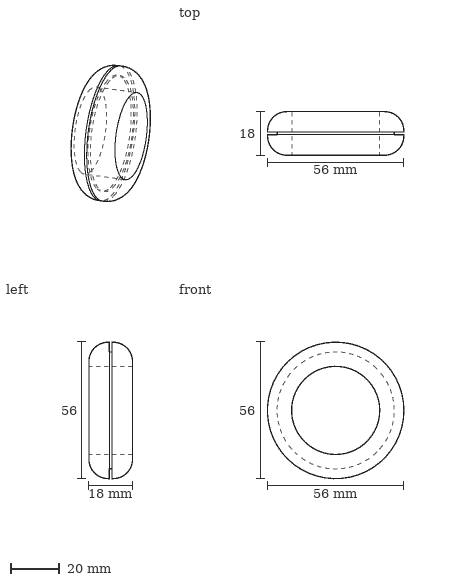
import cadquery as cq

outer_diameter = 56.0
bore_diameter = 36.0
width = 18.0
corner_radius = 8.0
groove_width = 1.0
groove_diameter = 48.0


def ring(outside, inside, length):
    """Plain ring around the Y axis, centred at mid-length."""
    start = cq.Workplane("XZ", origin=(0, length / 2, 0))
    return start.circle(outside / 2).circle(inside / 2).extrude(length)


outer_rims = cq.selectors.RadiusNthSelector(-1)
body = ring(outer_diameter, bore_diameter, width).edges(outer_rims).fillet(corner_radius)

groove_cutter = ring(2 * outer_diameter, groove_diameter, groove_width)
result = body.cut(groove_cutter)